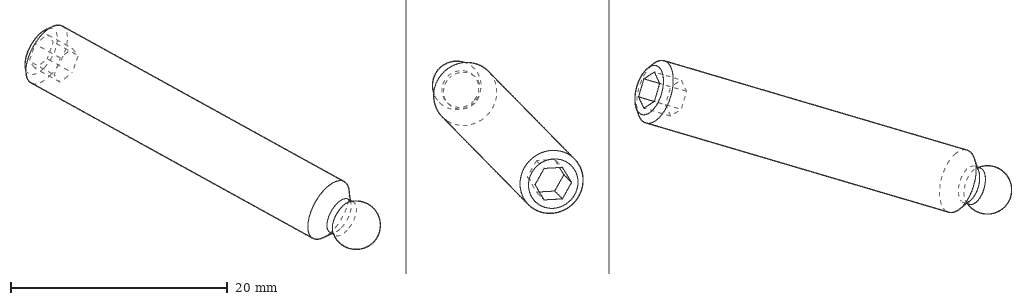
import cadquery as cq
import math

total_length = 40.0
body_diameter = 6.0
tail_chamfer = 0.65
shoulder_end = 35.7
neck_diameter = 3.5
ball_diameter = 4.5
socket_across_flats = 3.0
socket_depth = 3.0
socket_sides = 6

body_radius = body_diameter / 2
neck_radius = neck_diameter / 2
ball_radius = ball_diameter / 2
ball_center = total_length - ball_radius
shoulder_start = shoulder_end - (body_radius - neck_radius)
neck_end = ball_center - math.sqrt(ball_radius**2 - neck_radius**2)


def turned_pin():
    """Chamfered body, conical shoulder, short neck and ball tip, revolved about X."""
    half_profile = (
        cq.Workplane("XY")
        .moveTo(0, 0)
        .lineTo(0, body_radius - tail_chamfer)
        .lineTo(tail_chamfer, body_radius)
        .lineTo(shoulder_start, body_radius)
        .lineTo(shoulder_end, neck_radius)
        .lineTo(neck_end, neck_radius)
        .threePointArc((ball_center, ball_radius), (total_length, 0))
        .close()
    )
    return half_profile.revolve(360, (0, 0, 0), (1, 0, 0))


def hex_socket():
    """Hexagonal key socket in the tail face, with two corners on the Y axis."""
    across_corners = socket_across_flats / math.cos(math.pi / socket_sides)
    return cq.Workplane("YZ").polygon(socket_sides, across_corners).extrude(socket_depth)


result = turned_pin().cut(hex_socket())